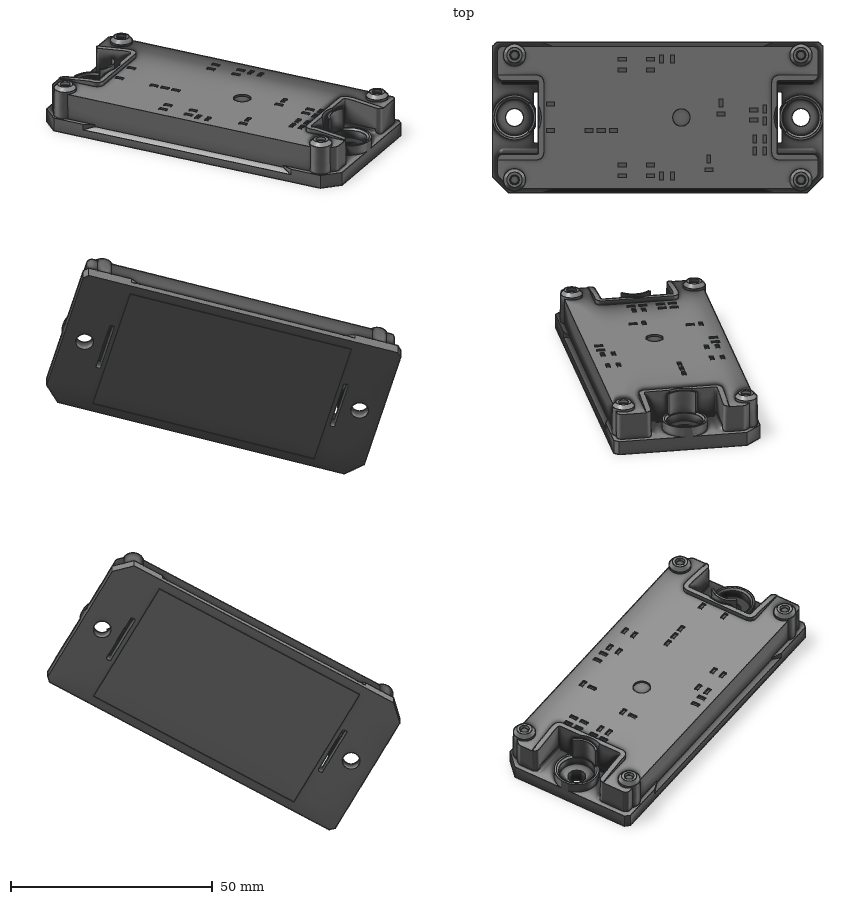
import cadquery as cq
import math

PAD_TOP = 0.2
BASE_TOP = 3.7
COVER_TOP = 10.4
RIM_TOP = 11.55
TOTAL_HEIGHT = 12.0

LENGTH = 82.0
WIDTH = 37.4
FRONT_CHAMFER = 4.0
BACK_CHAMFER = 1.1
PAD_LENGTH = 57.1
PAD_WIDTH = 33.0

COVER_INSET_X = 1.3
COVER_INSET_Y = 1.1
COVER_LENGTH = LENGTH - 2 * COVER_INSET_X
COVER_WIDTH = WIDTH - 2 * COVER_INSET_Y
COVER_FRONT_CHAMFER = 3.2
COVER_CORNER_RADIUS = 1.3
DISC_DIAMETER = 4.3
DISC_X = 5.85
DISC_DEPTH = 0.5

GROOVE_OUTER_HALF = 28.9
GROOVE_INNER_HALF = 26.1
GROOVE_OUTER_Z = 2.2
GROOVE_INNER_Z = 3.2

POST_X = 35.5
POST_Y = 15.45
POST_BOTTOM_RADIUS = 2.85
POST_RADIUS = 2.75
POST_SHOULDER = 11.0
POST_TOP_RADIUS = 1.9
POST_HOLE_DIAMETER = 2.4
POST_HOLE_BOTTOM_RADIUS = 0.95
POST_HOLE_DEPTH = 0.7

RECESS_BACK_X = 29.7
RECESS_HALF_WIDTH = 8.95
RECESS_DRAFT = 1.5
RECESS_INNER_RADIUS = 0.4
RECESS_MOUTH_RADIUS = 1.3
RIM_BACK_X = 28.25
RIM_HALF_WIDTH = 10.5
RIM_CORNER_RADIUS = 1.75
RIM_SLOPE_X = 31.55
RIM_TIP_Z = 10.6
COVE_RADIUS = 1.4
COVE_END_X = 38.2

HOLE_X = 35.5
HOLE_DIAMETER = 4.4
COLLAR_TOP = 6.2
COLLAR_BOTTOM_RADIUS = 5.62
COLLAR_TOP_RADIUS = 5.57
COLLAR_TOP_INNER_RADIUS = 5.05
COLLAR_LEAD_IN_RADIUS = 4.5
COLLAR_LEAD_IN_Z = 5.75
COLLAR_BOTTOM_INNER_RADIUS = 4.4
TONGUE_TOP = 11.7
TONGUE_INNER_RADIUS = 4.7
TONGUE_OUTER_RADIUS = 5.25
TONGUE_HALF_ANGLE = 45.0
NOTCH_BOTTOM_RADIUS = 5.8
NOTCH_TOP_RADIUS = 6.65
SLOT_OUTER_X = 30.8
SLOT_INNER_X = 29.6
SLOT_LENGTH = 12.6
SLOT_RADIUS = 0.3

PIN_LENGTH = 2.0
PIN_WIDTH = 0.95
PIN_DEPTH = 0.5
PINS_ALONG_X = [
    (x, y) for x in (-8.8, -1.8) for y in (-14.45, -11.75, 11.75, 14.45)
] + [
    (-26.6, 3.35), (-26.6, -3.2), (-17.0, -3.2), (-14.0, -3.2), (-10.95, -3.2),
    (12.65, -12.95), (15.65, 0.85), (23.8, 1.85), (23.8, -0.6),
]
PINS_ALONG_Y = [
    (x, y) for x in (0.95, 3.65) for y in (-14.45, 14.45)
] + [
    (12.65, -10.25), (15.65, 3.6), (24.05, -5.3), (24.05, -8.3),
    (26.5, 2.1), (26.5, -0.85), (26.5, -5.3), (26.5, -8.3),
]


def block(x_min, x_max, y_min, y_max, z_min, z_max):
    """Box given by its limits."""
    return cq.Workplane("XY").box(
        x_max - x_min, y_max - y_min, z_max - z_min, centered=False
    ).translate((x_min, y_min, z_min))


def turned(profile, x, y):
    """Solid of revolution of (radius, z) points about the vertical axis at (x, y)."""
    solid = cq.Workplane("XZ").polyline(profile).close().revolve(360, (0, 0), (0, 1))
    return solid.translate((x, y, 0))


def both_ends(solid):
    """A solid at the -X end together with its mirror image at the +X end."""
    return solid.union(solid.mirror("YZ"))


def make_base():
    plate = block(-LENGTH / 2, LENGTH / 2, -WIDTH / 2, WIDTH / 2, PAD_TOP, BASE_TOP)
    plate = plate.edges("|Z and <Y").chamfer(FRONT_CHAMFER)
    plate = plate.edges("|Z and >Y").chamfer(BACK_CHAMFER)
    pad = block(-PAD_LENGTH / 2, PAD_LENGTH / 2, -PAD_WIDTH / 2, PAD_WIDTH / 2, 0, BASE_TOP)
    return plate.union(pad)


def make_groove(side):
    """Cutter with splayed ends and a floor falling outward; side is -1 or +1 in Y."""
    inner_y = COVER_WIDTH / 2
    outer_y = WIDTH / 2
    floor = [
        (inner_y, GROOVE_INNER_Z),
        (outer_y, GROOVE_OUTER_Z),
        (outer_y, BASE_TOP),
        (inner_y, BASE_TOP),
    ]
    plan = [
        (-GROOVE_INNER_HALF, inner_y),
        (GROOVE_INNER_HALF, inner_y),
        (GROOVE_OUTER_HALF, outer_y),
        (-GROOVE_OUTER_HALF, outer_y),
    ]
    cutter = cq.Workplane("YZ").polyline(floor).close().extrude(GROOVE_OUTER_HALF, both=True)
    cutter = cutter.intersect(cq.Workplane("XY").polyline(plan).close().extrude(BASE_TOP))
    return cutter if side > 0 else cutter.mirror("XZ")


def make_rim():
    """Raised border of the -X recess, its arms sloping down toward the end."""
    end_x = -COVER_LENGTH / 2
    rim = block(end_x, -RIM_BACK_X, -RIM_HALF_WIDTH, RIM_HALF_WIDTH, BASE_TOP, RIM_TOP)
    rim = rim.edges("|Z and >X").fillet(RIM_CORNER_RADIUS)
    slope = [(-RIM_SLOPE_X, RIM_TOP), (end_x, RIM_TIP_Z), (end_x, RIM_TOP)]
    return rim.cut(cq.Workplane("XZ").polyline(slope).close().extrude(RIM_HALF_WIDTH, both=True))


def make_recess():
    """Drafted cutter for the -X recess, open toward the end."""
    half_length = LENGTH / 2 - RECESS_BACK_X + COVER_INSET_X
    plan = cq.Sketch().rect(2 * half_length, 2 * RECESS_HALF_WIDTH).vertices().fillet(RECESS_INNER_RADIUS)
    return (
        cq.Workplane("XY", origin=(-RECESS_BACK_X - half_length, 0, BASE_TOP))
        .placeSketch(plan)
        .extrude(RIM_TOP - BASE_TOP, taper=-RECESS_DRAFT)
    )


def make_cover():
    cover = block(
        -COVER_LENGTH / 2, COVER_LENGTH / 2, -COVER_WIDTH / 2, COVER_WIDTH / 2, BASE_TOP, COVER_TOP
    )
    cover = cover.edges("|Z and <Y").chamfer(COVER_FRONT_CHAMFER)
    cover = cover.edges("|Z and (<X or >X)").fillet(COVER_CORNER_RADIUS)
    cover = cover.union(both_ends(make_rim()))
    cover = cover.cut(both_ends(make_recess()))
    for side in (-1, 1):
        mouth = cq.selectors.BoxSelector(
            (-COVER_LENGTH, side * (RECESS_HALF_WIDTH - RECESS_MOUTH_RADIUS), BASE_TOP),
            (COVER_LENGTH, side * (RECESS_HALF_WIDTH + RECESS_MOUTH_RADIUS), COVER_TOP),
        )
        cover = cover.edges("<X or >X").edges(mouth).edges("not #Z").fillet(RECESS_MOUTH_RADIUS)
    return cover


def cove_profile(plane, toe, wall, back):
    """Closed concave fillet section running from the floor at toe up the wall, filled to back."""
    crest_z = BASE_TOP + COVE_RADIUS
    middle = COVE_RADIUS * math.sqrt(0.5)
    inward = math.copysign(middle, wall - toe)
    return (
        plane.moveTo(toe, BASE_TOP)
        .threePointArc((toe + inward, crest_z - middle), (wall, crest_z))
        .lineTo(back, crest_z)
        .lineTo(back, BASE_TOP)
        .close()
    )


def make_cove(side):
    """Concave fillet between the -X recess floor and its side wall; side is -1 or +1 in Y.

    At the mouth it turns outward about a vertical axis and dies out on the cover end.
    """
    toe_y = RECESS_HALF_WIDTH - COVE_RADIUS
    toe_radius = COVER_LENGTH / 2 - COVE_END_X
    axis_y = toe_y + toe_radius
    run_plane = cq.Workplane("YZ", origin=(-COVE_END_X, 0, 0))
    run_back = RECESS_HALF_WIDTH + COVE_RADIUS / 2
    run = cove_profile(run_plane, toe_y, RECESS_HALF_WIDTH, run_back)
    run = run.extrude(COVE_END_X - RECESS_BACK_X)
    turn = cove_profile(cq.Workplane("XZ"), toe_radius, toe_radius - COVE_RADIUS, 0)
    turn = turn.revolve(360, (0, 0), (0, 1)).translate((-COVE_END_X, axis_y, 0))
    cove = run.union(turn)
    return cove if side > 0 else cove.mirror("XZ")


def make_post(x, y):
    return turned(
        [
            (0, BASE_TOP),
            (POST_BOTTOM_RADIUS, BASE_TOP),
            (POST_RADIUS, POST_SHOULDER),
            (POST_TOP_RADIUS, TOTAL_HEIGHT),
            (0, TOTAL_HEIGHT),
        ],
        x,
        y,
    )


def make_post_hole(x, y):
    floor_z = TOTAL_HEIGHT - POST_HOLE_DEPTH
    return turned(
        [
            (0, floor_z),
            (POST_HOLE_BOTTOM_RADIUS, floor_z),
            (POST_HOLE_DIAMETER / 2, TOTAL_HEIGHT),
            (0, TOTAL_HEIGHT),
        ],
        x,
        y,
    )


def make_notch():
    """Conical relief for the screw head in the back wall of the -X recess."""
    return turned(
        [
            (0, BASE_TOP),
            (NOTCH_BOTTOM_RADIUS, BASE_TOP),
            (NOTCH_TOP_RADIUS, RIM_TOP),
            (0, RIM_TOP),
        ],
        -HOLE_X,
        0,
    )


def make_slot():
    """Narrow slot through the base at the foot of the recess back wall."""
    slot = block(-SLOT_OUTER_X, -SLOT_INNER_X, -SLOT_LENGTH / 2, SLOT_LENGTH / 2, 0, BASE_TOP)
    return slot.edges("|Z").fillet(SLOT_RADIUS)


def make_collar():
    """Ring round the mounting hole, with a tongue rising from its inward side."""
    collar = turned(
        [
            (COLLAR_BOTTOM_INNER_RADIUS, BASE_TOP),
            (COLLAR_BOTTOM_RADIUS, BASE_TOP),
            (COLLAR_TOP_RADIUS, COLLAR_TOP),
            (COLLAR_TOP_INNER_RADIUS, COLLAR_TOP),
            (COLLAR_LEAD_IN_RADIUS, COLLAR_LEAD_IN_Z),
        ],
        -HOLE_X,
        0,
    )
    tongue = turned(
        [
            (TONGUE_INNER_RADIUS, BASE_TOP),
            (TONGUE_OUTER_RADIUS, BASE_TOP),
            (TONGUE_OUTER_RADIUS, TONGUE_TOP),
            (TONGUE_INNER_RADIUS, TONGUE_TOP),
        ],
        -HOLE_X,
        0,
    )
    back_x = TONGUE_OUTER_RADIUS - HOLE_X
    collar = collar.intersect(block(-LENGTH / 2, back_x, -WIDTH / 2, WIDTH / 2, 0, TOTAL_HEIGHT))
    reach_x = 2 * TONGUE_OUTER_RADIUS
    reach_y = reach_x * math.tan(math.radians(TONGUE_HALF_ANGLE))
    sector = (
        cq.Workplane("XY", origin=(-HOLE_X, 0, 0))
        .polyline([(0, 0), (reach_x, -reach_y), (reach_x, reach_y)])
        .close()
        .extrude(TOTAL_HEIGHT)
    )
    return collar.union(tongue.intersect(sector))


def make_mounting_hole():
    return cq.Workplane("XY").center(-HOLE_X, 0).circle(HOLE_DIAMETER / 2).extrude(TOTAL_HEIGHT)


def make_pin_pockets():
    plane = cq.Workplane("XY", origin=(0, 0, COVER_TOP - PIN_DEPTH))
    along_x = plane.pushPoints(PINS_ALONG_X).rect(PIN_LENGTH, PIN_WIDTH).extrude(PIN_DEPTH)
    along_y = plane.pushPoints(PINS_ALONG_Y).rect(PIN_WIDTH, PIN_LENGTH).extrude(PIN_DEPTH)
    return along_x.union(along_y)


def make_disc_pocket():
    plane = cq.Workplane("XY", origin=(DISC_X, 0, COVER_TOP - DISC_DEPTH))
    return plane.circle(DISC_DIAMETER / 2).extrude(DISC_DEPTH)


post_places = [(x, y) for x in (-POST_X, POST_X) for y in (-POST_Y, POST_Y)]

result = make_base().union(make_cover())
for side in (-1, 1):
    result = result.cut(make_groove(side))
    result = result.union(both_ends(make_cove(side)))
for x, y in post_places:
    result = result.union(make_post(x, y)).cut(make_post_hole(x, y))
for end_cut in (make_notch(), make_slot()):
    result = result.cut(both_ends(end_cut))
result = result.union(both_ends(make_collar()))
result = result.cut(both_ends(make_mounting_hole()))
result = result.cut(make_pin_pockets()).cut(make_disc_pocket())